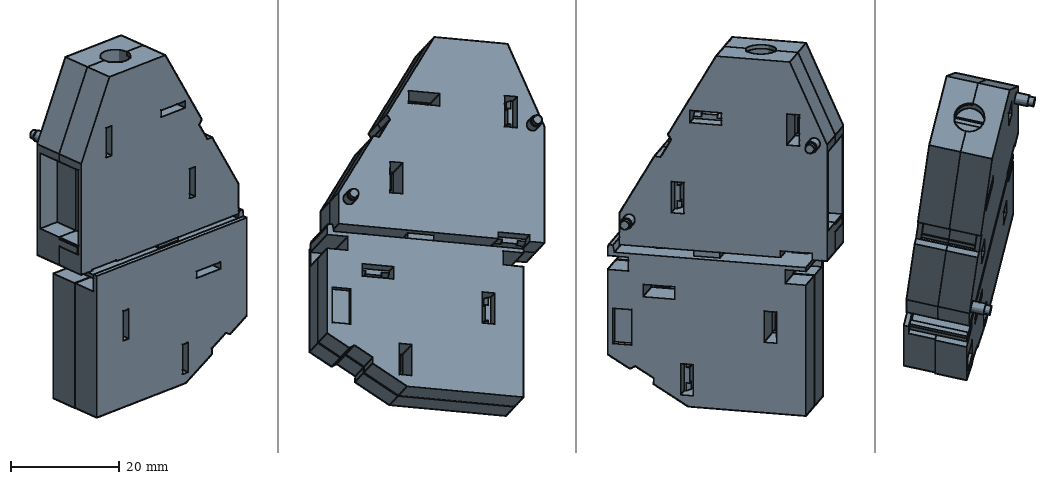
import cadquery as cq
import math


HALF_THICKNESS = 6.0
JOINT_GAP = 0.2
NOTCH_WIDTH = 5.15
NOTCH_DEPTH = 1.0
NOTCH_TAPER = 0.515

WINDOW_LENGTH = 6.05
WINDOW_WIDTH = 2.4
HOOK_THICKNESS = 1.0
HOOK_REACH = 3.3
HOOK_MIDDLE = 3.0
HOOK_CHAMFER = 0.6
HOOK_CHAMFER_REACH = 1.0
HOOK_BELOW, HOOK_BACK, HOOK_ABOVE, HOOK_FRONT = 0, 90, 180, 270

TOP_Z = 68.6
UPPER_BOTTOM_Z = 30.45
UPPER_DEPTH = 39.7
UPPER_BACK_Z = 36.6
UPPER_FRONT_Z = 53.1
TOP_FRONT_Y = 7.15
UPPER_SLOPE = 60.0
UPPER_NOTCH_AT = 15.9
TOP_BACK_Y = UPPER_DEPTH - (TOP_Z - UPPER_BACK_Z) / math.tan(math.radians(UPPER_SLOPE))
UPPER_WINDOWS = [
    (23.25, 56.45, HOOK_BELOW),
    (6.5, 55.4, HOOK_FRONT),
    (28.6, 40.5, HOOK_BACK),
    (5.9, 30.5, HOOK_ABOVE),
]

NOTCH_RECESS_WIDTH = 10.15
NOTCH_RECESS_LENGTH = 4.0
NOTCH_RECESS_DEPTH = 0.55
NOTCH_LEDGE = 0.75
NOTCH_STEP_DEPTH = 0.2
POCKET_WIDTH = 10.3
POCKET_DEPTH = 4.25
POCKET_BOTTOM_Z = 36.15
POCKET_TOP_Z = 51.5
SHELF_THICKNESS = 0.2
UPPER_TONGUE_BOTTOM_Z = 34.3
UPPER_TONGUE_WIDTH = POCKET_WIDTH / 2 - JOINT_GAP
PIN_PLACES = [(2.4, 53.15), (37.8, 35.5)]
PIN_RADIUS = 1.06
PIN_LENGTH = 2.5
PIN_TIP_RADIUS = 0.86
PIN_TIP_LENGTH = 1.1

BORE_RADIUS = 2.8
BORE_DEPTH = 2.5
BORE_Y = (TOP_FRONT_Y + TOP_BACK_Y) / 2
CUP_RADIUS = 3.85
CUP_TOP_DEPTH = 0.75
CUP_FLOOR_THICKNESS = 1.7
GROOVE_WIDTH = 1.0
GROOVE_DEPTH = 0.7

LOWER_FRONT_Y = 4.05
LOWER_BACK_Y = 42.0
LOWER_TOP_Z = 28.9
LOWER_BACK_Z = 8.9
LOWER_SLOPE = 30.0
LOWER_NOTCH_AT = 7.55
LOWER_FOOT_Y = LOWER_BACK_Y - LOWER_BACK_Z / math.tan(math.radians(LOWER_SLOPE))
RIGHT_OFFSET = 0.15
LOWER_WINDOWS = [
    (32.2, 21.9, HOOK_ABOVE),
    (10.85, 16.75, HOOK_FRONT),
    (26.8, 5.2, HOOK_BACK),
]

LOWER_TONGUE_WIDTH = 4.9
RECESS_LENGTH = 4.0
RECESS_BOTTOM_Z = 25.45
RECESS_TOP_Z = 28.1
LOWER_TONGUE_BOTTOM_Z = RECESS_BOTTOM_Z + RIGHT_OFFSET
LIP_WIDTH = 1.3
LIP_STRAIGHT = 0.8
LIP_HEIGHT = 1.4
LIP_CHAMFER = 0.2
LIP_TAPER = 0.3
SPACER_HEIGHT = UPPER_BOTTOM_Z - LOWER_TOP_Z
BLOCK_WIDTH = 8.85
BLOCK_FRONT_Y = 20.9
BLOCK_LENGTH = 5.0
POST_RADIUS = 1.6
POST_Y = 33.4
LABEL_FRONT_Y = 37.4
LABEL_LENGTH = 3.6
LABEL_BOTTOM_Z = 11.1
LABEL_HEIGHT = 6.85
LABEL_DEPTH = 1.2


def box(x_range, y_range, z_range):
    """Box between two limits along each axis."""
    sizes = [high - low for low, high in (x_range, y_range, z_range)]
    corner = (x_range[0], y_range[0], z_range[0])
    return cq.Workplane().box(*sizes, centered=False).translate(corner)


def plate(points, x_from, x_to):
    """Extrude a closed Y-Z outline between two X positions."""
    outline = cq.Workplane("YZ", origin=(x_from, 0, 0)).polyline(points).close()
    return outline.extrude(x_to - x_from)


def left_plate(points):
    return plate(points, -HALF_THICKNESS, 0)


def right_plate(points):
    return plate(points, 0, HALF_THICKNESS)


def round_bar(radius, y, z_from, z_to):
    """Upright cylinder on the parting plane."""
    return cq.Workplane("XY", origin=(0, y, z_from)).circle(radius).extrude(z_to - z_from)


def slope_point(start, angle, along, inward):
    """Point beside a slope that runs from start toward the given angle, with the part on its left."""
    turn = math.radians(angle)
    y = start[0] + along * math.cos(turn) - inward * math.sin(turn)
    z = start[1] + along * math.sin(turn) + inward * math.cos(turn)
    return (y, z)


def notch_points(start, angle, centre):
    """Corners of the tapered notch, in order along the slope."""
    outer = NOTCH_WIDTH / 2
    inner = outer - NOTCH_TAPER
    return [
        slope_point(start, angle, centre - outer, 0),
        slope_point(start, angle, centre - inner, NOTCH_DEPTH),
        slope_point(start, angle, centre + inner, NOTCH_DEPTH),
        slope_point(start, angle, centre + outer, 0),
    ]



def place(shape, y, z, side):
    """Turn a window or hook to its side and move it to its place."""
    return shape.rotate((0, 0, 0), (1, 0, 0), side).translate((0, y, z))


def full_window():
    """Opening through a left half, lying along Y."""
    half_length, half_width = WINDOW_LENGTH / 2, WINDOW_WIDTH / 2
    return box((-HALF_THICKNESS, 0), (-half_length, half_length), (-half_width, half_width))


def hook_gap():
    """Opening through a right half beside the hook, lying along Y."""
    half_length, half_width = WINDOW_LENGTH / 2, WINDOW_WIDTH / 2
    z_range = (HOOK_THICKNESS - half_width, half_width)
    return box((0, HALF_THICKNESS), (-half_length, half_length), z_range)


def hook():
    """Bar along the lower side of the window, chamfered at both ends beside its full middle."""
    half_length = WINDOW_LENGTH / 2
    bottom = -WINDOW_WIDTH / 2
    top = bottom + HOOK_THICKNESS
    bar = box((-HOOK_REACH, 0), (-half_length, half_length), (bottom, top))
    wedge = (
        cq.Workplane("XZ", origin=(0, half_length, 0))
        .moveTo(-HOOK_REACH, top)
        .line(HOOK_CHAMFER_REACH, 0)
        .line(-HOOK_CHAMFER_REACH, -HOOK_CHAMFER)
        .close()
        .extrude(half_length - HOOK_MIDDLE / 2)
    )
    return bar.cut(wedge).cut(wedge.mirror("XZ"))


def cut_windows(left_half, windows):
    for y, z, side in windows:
        left_half = left_half.cut(place(full_window(), y, z, side))
    return left_half


def add_hooks(right_half, windows):
    for y, z, side in windows:
        right_half = right_half.cut(place(hook_gap(), y, z, side)).union(place(hook(), y, z, side))
    return right_half



UPPER_SLOPE_START = (UPPER_DEPTH, UPPER_BACK_Z)
UPPER_SLOPE_ANGLE = 180 - UPPER_SLOPE


def upper_outline():
    return [
        (0, UPPER_BOTTOM_Z),
        (UPPER_DEPTH, UPPER_BOTTOM_Z),
        UPPER_SLOPE_START,
        *notch_points(UPPER_SLOPE_START, UPPER_SLOPE_ANGLE, UPPER_NOTCH_AT),
        (TOP_BACK_Y, TOP_Z),
        (TOP_FRONT_Y, TOP_Z),
        (0, UPPER_FRONT_Z),
    ]


def notch_recess():
    """Shallow stepped recess in the floor of the upper notch."""
    low = UPPER_NOTCH_AT - NOTCH_RECESS_LENGTH / 2
    high = low + NOTCH_RECESS_LENGTH
    ledge = low + NOTCH_LEDGE
    floor = NOTCH_DEPTH + NOTCH_RECESS_DEPTH
    step_floor = floor + NOTCH_STEP_DEPTH
    corners = [(low, 0), (low, floor), (ledge, floor), (ledge, step_floor), (high, step_floor), (high, 0)]
    points = [slope_point(UPPER_SLOPE_START, UPPER_SLOPE_ANGLE, *corner) for corner in corners]
    return plate(points, -NOTCH_RECESS_WIDTH / 2, NOTCH_RECESS_WIDTH / 2)


def front_pocket():
    x_range = (-POCKET_WIDTH / 2, POCKET_WIDTH / 2)
    return box(x_range, (0, POCKET_DEPTH), (POCKET_BOTTOM_Z, POCKET_TOP_Z))


def upper_tongue(clearance):
    """Tongue under the pocket, grown at its top and end by the clearance."""
    top = POCKET_BOTTOM_Z - SHELF_THICKNESS - JOINT_GAP + clearance
    x_range = (0, UPPER_TONGUE_WIDTH + clearance)
    return box(x_range, (0, POCKET_DEPTH), (UPPER_TONGUE_BOTTOM_Z, top))


def cable_bore():
    return round_bar(BORE_RADIUS, BORE_Y, TOP_Z - BORE_DEPTH, TOP_Z)


def cup_space():
    """Outer shape of the cup at the bottom of the cable bore."""
    bottom = TOP_Z - BORE_DEPTH - CUP_FLOOR_THICKNESS
    return round_bar(CUP_RADIUS, BORE_Y, bottom, TOP_Z - CUP_TOP_DEPTH)


def cup_groove():
    """Groove across the floor of the cup."""
    floor = TOP_Z - BORE_DEPTH
    y_range = (BORE_Y - GROOVE_WIDTH / 2, BORE_Y + GROOVE_WIDTH / 2)
    bar = box((-BORE_RADIUS, BORE_RADIUS), y_range, (floor - GROOVE_DEPTH, floor))
    return bar.intersect(round_bar(BORE_RADIUS, BORE_Y, floor - GROOVE_DEPTH, floor))


def pin(y, z):
    """Stepped pin standing out of the left face."""
    face = cq.Workplane("YZ", origin=(-HALF_THICKNESS, y, z))
    tip = face.circle(PIN_TIP_RADIUS).extrude(-PIN_LENGTH - PIN_TIP_LENGTH)
    return face.circle(PIN_RADIUS).extrude(-PIN_LENGTH).union(tip)


def make_upper_left():
    half = left_plate(upper_outline())
    half = half.cut(notch_recess()).cut(front_pocket())
    half = half.union(upper_tongue(0))
    half = half.union(cup_space()).cut(cable_bore()).cut(cup_groove())
    for y, z in PIN_PLACES:
        half = half.union(pin(y, z))
    return cut_windows(half, UPPER_WINDOWS)


def make_upper_right():
    half = right_plate(upper_outline())
    half = half.cut(notch_recess()).cut(front_pocket())
    half = half.cut(upper_tongue(JOINT_GAP))
    half = half.cut(cup_space()).cut(cable_bore())
    return add_hooks(half, UPPER_WINDOWS)



def lower_outline():
    foot = (LOWER_FOOT_Y, 0)
    slope_length = LOWER_BACK_Z / math.sin(math.radians(LOWER_SLOPE))
    return [
        (LOWER_FRONT_Y, LOWER_TOP_Z),
        (LOWER_FRONT_Y, 0),
        foot,
        *notch_points(foot, LOWER_SLOPE, slope_length - LOWER_NOTCH_AT),
        (LOWER_BACK_Y, LOWER_BACK_Z),
        (LOWER_BACK_Y, LOWER_TOP_Z),
    ]


def lower_tongue():
    """Top block of the left half that lies in the right half."""
    z_range = (LOWER_TONGUE_BOTTOM_Z, LOWER_TOP_Z)
    return box((0, LOWER_TONGUE_WIDTH), (LOWER_FRONT_Y, LOWER_BACK_Y), z_range)


def tongue_channel():
    """Channel in the right half for the tongue, open at the top and at both ends."""
    x_range = (0, LOWER_TONGUE_WIDTH + JOINT_GAP)
    y_range = (LOWER_FRONT_Y - RIGHT_OFFSET, LOWER_BACK_Y)
    return box(x_range, y_range, (LOWER_TONGUE_BOTTOM_Z, LOWER_TOP_Z + RIGHT_OFFSET))


def end_recess(y_from):
    x_range = (-HALF_THICKNESS, LOWER_TONGUE_WIDTH)
    return box(x_range, (y_from, y_from + RECESS_LENGTH), (RECESS_BOTTOM_Z, RECESS_TOP_Z))


def back_lip():
    """Upright lip with a narrowed top along the back edge of the top face."""
    inner = LOWER_BACK_Y - LIP_WIDTH
    shoulder = LOWER_TOP_Z + LIP_STRAIGHT
    top = LOWER_TOP_Z + LIP_HEIGHT
    points = [
        (inner, LOWER_TOP_Z),
        (LOWER_BACK_Y, LOWER_TOP_Z),
        (LOWER_BACK_Y, shoulder),
        (LOWER_BACK_Y - LIP_CHAMFER, top),
        (inner + LIP_TAPER, top),
    ]
    return plate(points, -HALF_THICKNESS, LOWER_TONGUE_WIDTH)


def spacer_block():
    """Block that carries the upper shell."""
    x_range = (-BLOCK_WIDTH / 2, BLOCK_WIDTH / 2)
    y_range = (BLOCK_FRONT_Y, BLOCK_FRONT_Y + BLOCK_LENGTH)
    return box(x_range, y_range, (LOWER_TOP_Z, LOWER_TOP_Z + SPACER_HEIGHT))


def spacer_post():
    return round_bar(POST_RADIUS, POST_Y, LOWER_TOP_Z, LOWER_TOP_Z + SPACER_HEIGHT)


def label_pocket():
    """Shallow pocket in the left face."""
    x_range = (-HALF_THICKNESS, -HALF_THICKNESS + LABEL_DEPTH)
    y_range = (LABEL_FRONT_Y, LABEL_FRONT_Y + LABEL_LENGTH)
    return box(x_range, y_range, (LABEL_BOTTOM_Z, LABEL_BOTTOM_Z + LABEL_HEIGHT))


def make_lower_left():
    half = left_plate(lower_outline())
    half = half.union(lower_tongue())
    half = half.cut(end_recess(LOWER_FRONT_Y)).cut(end_recess(LOWER_BACK_Y - RECESS_LENGTH))
    half = half.union(back_lip()).union(spacer_block()).union(spacer_post())
    half = half.cut(label_pocket())
    return cut_windows(half, LOWER_WINDOWS)


def make_lower_right():
    half = right_plate(lower_outline()).translate((0, -RIGHT_OFFSET, RIGHT_OFFSET))
    half = half.cut(tongue_channel())
    return add_hooks(half, LOWER_WINDOWS)


upper_left = make_upper_left()
upper_right = make_upper_right()
lower_left = make_lower_left()
lower_right = make_lower_right()

result = cq.Compound.makeCompound(
    [upper_left.val(), upper_right.val(), lower_left.val(), lower_right.val()]
)